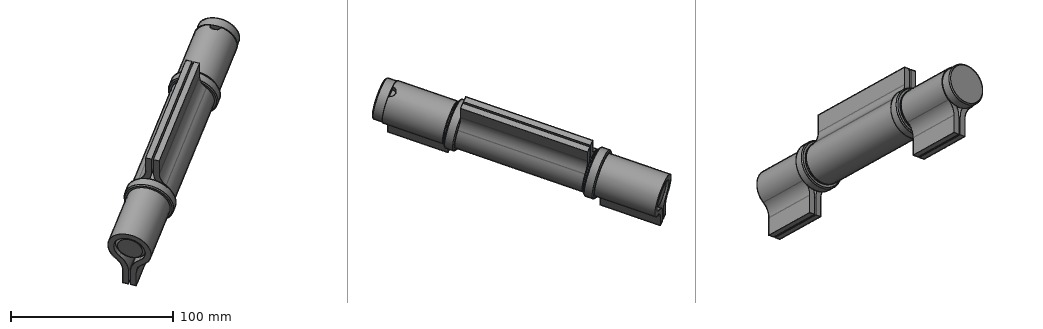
import cadquery as cq
import math


TOTAL_LENGTH = 187.4
PIN_DIAMETER = 19.9
PIN_RECESS = 1.1
PIN_TIP_CHAMFER = 1.9
HEAD_DIAMETER = 27.0
HEAD_LENGTH = 7.0
HEAD_CHAMFER = 0.7

BARREL_DIAMETER = 28.0
BORE_DIAMETER = 20.2
LEAF_GAP = 1.1
LEAF_REACH = 32.14
LEAF_START = 20.0
END_STRAP_LENGTH = 40.0
NOTCH_RADIUS = 3.5

COLLAR_DIAMETER = 32.0
NECK_DIAMETER = 27.0
BUSHING_BORE = 20.2
BUSHING_LENGTH = 8.2
NECK_LENGTH = 1.5
COLLAR_CHAMFER = 0.7
NECK_CHAMFER = 0.4

FRONT_END = -TOTAL_LENGTH / 2
REAR_END = TOTAL_LENGTH / 2
FRONT_BUSHING_Y = FRONT_END + END_STRAP_LENGTH
MIDDLE_STRAP_Y = FRONT_BUSHING_Y + BUSHING_LENGTH
HEAD_Y = REAR_END - HEAD_LENGTH
REAR_STRAP_Y = HEAD_Y - END_STRAP_LENGTH
REAR_BUSHING_Y = REAR_STRAP_Y - BUSHING_LENGTH
MIDDLE_STRAP_LENGTH = REAR_BUSHING_Y - MIDDLE_STRAP_Y


def cylinder(diameter, y_start, length):
    """Solid cylinder on the Y axis, running toward +Y."""
    plane = cq.Plane(origin=(0, y_start, 0), xDir=(1, 0, 0), normal=(0, 1, 0))
    return cq.Workplane(plane).circle(diameter / 2).extrude(length)


def make_strap(y_start, length, leaf_direction):
    """Barrel and two leaves; leaf_direction is +1 for leaves up, -1 for leaves down."""
    outer_radius = BARREL_DIAMETER / 2
    bore_radius = BORE_DIAMETER / 2
    thickness = outer_radius - bore_radius
    leaf_inner = LEAF_GAP / 2
    leaf_outer = leaf_inner + thickness

    bend_radius = (LEAF_START**2 + leaf_outer**2 - outer_radius**2) / (2 * (outer_radius - leaf_outer))
    bend_x = leaf_outer + bend_radius
    bend_angle = math.atan2(LEAF_START, bend_x)
    mid_angle = math.pi + bend_angle / 2

    def point(x, z):
        return (x, leaf_direction * z)

    def barrel_point(radius):
        return radius * math.cos(bend_angle), radius * math.sin(bend_angle)

    def bend_middle(radius):
        return bend_x + radius * math.cos(mid_angle), LEAF_START + radius * math.sin(mid_angle)

    def mirrored(x, z):
        return -x, z

    outer_tangent = barrel_point(outer_radius)
    bore_tangent = barrel_point(bore_radius)
    outer_bend = bend_middle(bend_radius)
    inner_bend = bend_middle(bend_radius + thickness)

    profile = (
        cq.Workplane("XZ", origin=(0, y_start, 0))
        .moveTo(*point(leaf_outer, LEAF_REACH))
        .lineTo(*point(leaf_outer, LEAF_START))
        .threePointArc(point(*outer_bend), point(*outer_tangent))
        .threePointArc(point(0, -outer_radius), point(*mirrored(*outer_tangent)))
        .threePointArc(point(*mirrored(*outer_bend)), point(-leaf_outer, LEAF_START))
        .lineTo(*point(-leaf_outer, LEAF_REACH))
        .lineTo(*point(-leaf_inner, LEAF_REACH))
        .lineTo(*point(-leaf_inner, LEAF_START))
        .threePointArc(point(*mirrored(*inner_bend)), point(*mirrored(*bore_tangent)))
        .threePointArc(point(0, -bore_radius), point(*bore_tangent))
        .threePointArc(point(*inner_bend), point(leaf_inner, LEAF_START))
        .lineTo(*point(leaf_inner, LEAF_REACH))
        .close()
    )
    return profile.extrude(-length)


def make_rear_strap():
    """End strap with a half-round notch through the top of its rear edge."""
    strap = make_strap(REAR_STRAP_Y, END_STRAP_LENGTH, -1)
    notch = cq.Workplane("XY").center(0, HEAD_Y).circle(NOTCH_RADIUS).extrude(BARREL_DIAMETER)
    return strap.cut(notch)


def make_bushing(y_start):
    """Collar with its neck toward +Y, bored with clearance around the pin."""
    collar_length = BUSHING_LENGTH - NECK_LENGTH
    collar = cylinder(COLLAR_DIAMETER, y_start, collar_length).edges().chamfer(COLLAR_CHAMFER)
    neck = cylinder(NECK_DIAMETER, y_start + collar_length, NECK_LENGTH).faces(">Y").chamfer(NECK_CHAMFER)
    bore = cylinder(BUSHING_BORE, y_start, BUSHING_LENGTH)
    return collar.union(neck).cut(bore)


def make_pin():
    """Shank with a chamfered tip at the front and a head at the rear."""
    tip_y = FRONT_END + PIN_RECESS
    shank = cylinder(PIN_DIAMETER, tip_y, HEAD_Y - tip_y).faces("<Y").chamfer(PIN_TIP_CHAMFER)
    head = cylinder(HEAD_DIAMETER, HEAD_Y, HEAD_LENGTH).faces(">Y").chamfer(HEAD_CHAMFER)
    return shank.union(head)


front_strap = make_strap(FRONT_END, END_STRAP_LENGTH, -1)
middle_strap = make_strap(MIDDLE_STRAP_Y, MIDDLE_STRAP_LENGTH, 1)
rear_strap = make_rear_strap()
bushings = [make_bushing(y) for y in (FRONT_BUSHING_Y, REAR_BUSHING_Y)]
pin = make_pin()

result = cq.Compound.makeCompound([
    front_strap.val(),
    middle_strap.val(),
    rear_strap.val(),
    *[bushing.val() for bushing in bushings],
    pin.val(),
])